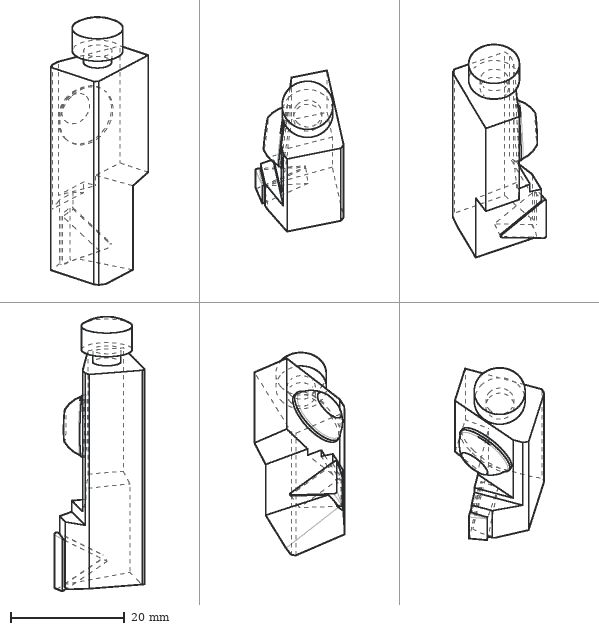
import cadquery as cq
import math

BACK_X = 13.95
BACK_Y = 14.75
TOP_Z = 42
FRONT_X = 3.6
NOSE_X = 0.9
NOSE_Y = 5.9
CORNER_CHAMFER = 0.6

NECK_X = 3.15
SHELF_Z = 13.4
SHELF_ANGLE = 15
FLAT_START_Y = 2.75
FLAT_ANGLE = 20
FLAT_BOTTOM_Z = 16.05

RAKE_Y = 9.75
RAKE_ANGLE = 3
OVERHANG_Z = 18
OVERHANG_ANGLE = 14

END_Z = 0.7
END_ANGLE = 5
FRONT_END_Z = 2.55
FRONT_END_ANGLE = 15
NOSE_CHAMFER_X = 0.65
NOSE_CHAMFER_Z = 1.3

BUTTON_Y = 8.2
BUTTON_Z = 30.1
BUTTON_RIM_D = 11
BUTTON_RIM_H = 0.5
BUTTON_DOME_D = 10.4
BUTTON_FACE_D = 5.75
BUTTON_H = 3.6
BUTTON_SPHERE_R = 5.55

HEAD_X = 8.75
HEAD_Y = 6.85
NECK_D = 5
HEAD_D = 9
HEAD_BOTTOM_Z = 44.25
HEAD_EDGE_Z = 48.6
HEAD_TOP_Z = 50

INSERT_SIDE = 11
INSERT_NOSE_R = 0.4
INSERT_THICKNESS = 3.2
INSERT_CLEARANCE = 7
INSERT_EDGE_Y = 9.95

MARGIN = 5


def slope(angle):
    """Rise per unit length at an angle in degrees."""
    return math.tan(math.radians(angle))


def xy_prism(points, bottom, top):
    return cq.Workplane("XY").workplane(offset=bottom).polyline(points).close().extrude(top - bottom)


def xz_prism(points):
    """Prism through the full depth of the holder in Y."""
    depth = BACK_Y + 2 * MARGIN
    return cq.Workplane("XZ").workplane(offset=-BACK_Y - MARGIN).polyline(points).close().extrude(depth)


def yz_prism(points):
    """Prism through the full width of the holder in X."""
    width = BACK_X + 2 * MARGIN
    return cq.Workplane("YZ").workplane(offset=-MARGIN).polyline(points).close().extrude(width)


def shank():
    outline = [
        (FRONT_X, 0),
        (BACK_X - CORNER_CHAMFER, 0),
        (BACK_X, CORNER_CHAMFER),
        (BACK_X, BACK_Y),
        (NOSE_X, BACK_Y),
        (NOSE_X, NOSE_Y),
    ]
    return xy_prism(outline, 0, TOP_Z)


def neck_cut():
    """Space above the sloping shelf, out to the neck face."""
    left = NOSE_X - MARGIN
    return xz_prism([
        (left, SHELF_Z - MARGIN * slope(SHELF_ANGLE)),
        (NECK_X, SHELF_Z + (NECK_X - NOSE_X) * slope(SHELF_ANGLE)),
        (NECK_X, TOP_Z + MARGIN),
        (left, TOP_Z + MARGIN),
    ])


def flat_cut():
    """Space in front of the inclined flat."""
    end_y = BACK_Y + MARGIN
    end_x = NECK_X + (end_y - FLAT_START_Y) * slope(FLAT_ANGLE)
    points = [(NECK_X, FLAT_START_Y), (end_x, end_y), (NECK_X - MARGIN, end_y), (NECK_X - MARGIN, FLAT_START_Y)]
    return xy_prism(points, FLAT_BOTTOM_Z, TOP_Z + MARGIN)


def rake_cut():
    """Space above the rake face, closed at the top by the sloping ceiling."""
    far_y = BACK_Y + MARGIN
    left = NOSE_X - MARGIN
    right = BACK_X + MARGIN
    above_rake = xy_prism([
        (left, RAKE_Y - MARGIN * slope(RAKE_ANGLE)),
        (right, RAKE_Y + (right - NOSE_X) * slope(RAKE_ANGLE)),
        (right, far_y),
        (left, far_y),
    ], -MARGIN, TOP_Z)
    near_y = RAKE_Y - MARGIN
    below_ceiling = yz_prism([
        (near_y, -MARGIN),
        (far_y, -MARGIN),
        (far_y, OVERHANG_Z + (far_y - RAKE_Y) * slope(OVERHANG_ANGLE)),
        (near_y, OVERHANG_Z - MARGIN * slope(OVERHANG_ANGLE)),
    ])
    return above_rake.intersect(below_ceiling)


def end_cut():
    """Space below the sloping end face."""
    left = NOSE_X - MARGIN
    right = BACK_X + MARGIN
    return xz_prism([
        (left, END_Z - MARGIN * slope(END_ANGLE)),
        (right, END_Z + (right - NOSE_X) * slope(END_ANGLE)),
        (right, -MARGIN),
        (left, -MARGIN),
    ])


def front_end_cut():
    """Space below the bevel between the -Y face and the end face."""
    far_y = BACK_Y + MARGIN
    return yz_prism([
        (-MARGIN, FRONT_END_Z + MARGIN * slope(FRONT_END_ANGLE)),
        (far_y, FRONT_END_Z - far_y * slope(FRONT_END_ANGLE)),
        (far_y, -2 * MARGIN),
        (-MARGIN, -2 * MARGIN),
    ])


def nose_chamfer_cut():
    """Small bevel at the lower end of the nose face."""
    return xz_prism([(NOSE_X, 0), (NOSE_X + 2 * NOSE_CHAMFER_X, 0), (NOSE_X, NOSE_CHAMFER_Z)])


def button():
    """Flat-topped dome standing on the inclined flat."""
    angle = math.radians(FLAT_ANGLE)
    plane = cq.Plane(
        origin=(NECK_X + (BUTTON_Y - FLAT_START_Y) * slope(FLAT_ANGLE), BUTTON_Y, BUTTON_Z),
        xDir=(0, 0, 1),
        normal=(-math.cos(angle), math.sin(angle), 0),
    )
    rim_r = BUTTON_RIM_D / 2
    dome_r = BUTTON_DOME_D / 2
    face_r = BUTTON_FACE_D / 2
    dome_h = BUTTON_RIM_H + rim_r - dome_r
    profile = (
        cq.Workplane("XZ")
        .lineTo(rim_r, 0)
        .lineTo(rim_r, BUTTON_RIM_H)
        .lineTo(dome_r, dome_h)
        .radiusArc((face_r, BUTTON_H), -BUTTON_SPHERE_R)
        .lineTo(0, BUTTON_H)
        .close()
    )
    return cq.Workplane(profile.revolve(360, (0, 0), (0, 1)).val().moved(cq.Location(plane)))


def adjusting_head():
    """Neck and domed head on top of the shank."""
    head_r = HEAD_D / 2
    rise = HEAD_TOP_Z - HEAD_EDGE_Z
    crown_r = (head_r**2 + rise**2) / (2 * rise)
    profile = (
        cq.Workplane("XZ")
        .moveTo(0, TOP_Z)
        .lineTo(NECK_D / 2, TOP_Z)
        .lineTo(NECK_D / 2, HEAD_BOTTOM_Z)
        .lineTo(head_r, HEAD_BOTTOM_Z)
        .lineTo(head_r, HEAD_EDGE_Z)
        .radiusArc((0, HEAD_TOP_Z), -crown_r)
        .close()
    )
    return profile.revolve(360, (0, 0), (0, 1)).translate((HEAD_X, HEAD_Y, 0))


def make_insert():
    """Triangle with rounded corners, tapering away from its rake face."""
    angle = math.radians(RAKE_ANGLE)
    corner_loss = (math.sqrt(3) - 1) * INSERT_NOSE_R
    plane = cq.Plane(
        origin=(0, INSERT_EDGE_Y, -corner_loss),
        xDir=(0, 0, 1),
        normal=(math.sin(angle), -math.cos(angle), 0),
    )
    height = INSERT_SIDE * math.sqrt(3) / 2
    triangle = cq.Sketch().polygon([
        (0, 0),
        (INSERT_SIDE, 0),
        (INSERT_SIDE / 2, -height),
        (0, 0),
    ]).vertices().fillet(INSERT_NOSE_R)
    return cq.Workplane(plane).placeSketch(triangle).extrude(INSERT_THICKNESS, taper=INSERT_CLEARANCE)


def make_holder(insert):
    """Shank with its cuts, both round heads and the seat for the insert."""
    holder = shank()
    for cut in (neck_cut, flat_cut, rake_cut, end_cut, front_end_cut, nose_chamfer_cut):
        holder = holder.cut(cut())
    return holder.union(button()).union(adjusting_head()).cut(insert)


insert = make_insert()
holder = make_holder(insert)

result = cq.Compound.makeCompound([holder.val(), insert.val()])